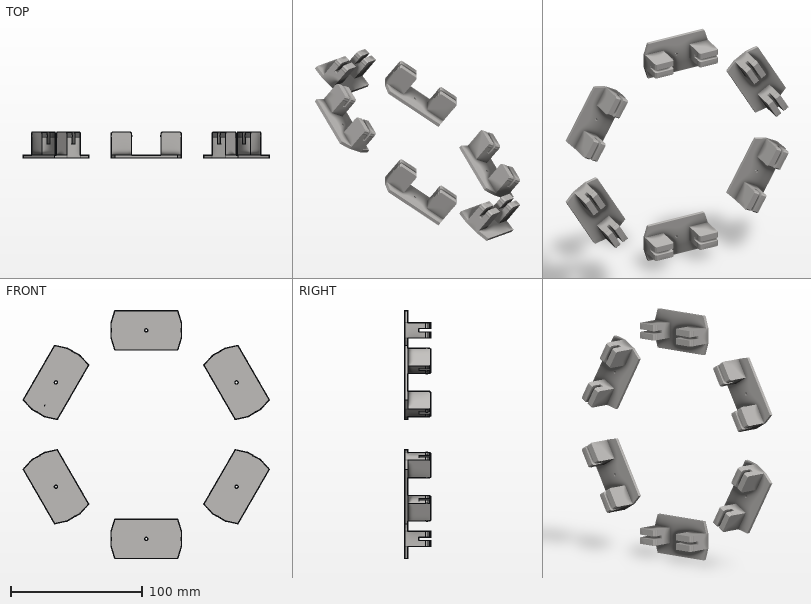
import cadquery as cq

PLATE_LENGTH = 53.7
PLATE_EDGE_LENGTH = 48.0
PLATE_HEIGHT = 30.0
PLATE_THICKNESS = 2.5
HOLE_DIAMETER = 2.3

TOTAL_DEPTH = 20.0
LEG_LENGTH = 15.7
LEG_HEIGHT = 12.0

TIP_CHAMFER = 1.0
BEAD_START = 2.3
BEAD_WIDTH = 1.7
BEAD_HEIGHT = 0.2

SLOT_WIDTH = 2.5
SLOT_DEPTH = 9.0

CLIP_COUNT = 6
RING_HEIGHT = 189.1
RING_RADIUS = (RING_HEIGHT - PLATE_HEIGHT) / 2


def make_plate():
    """Eight-cornered plate with its front face at Y = 0 and a hole through its centre."""
    half_length = PLATE_LENGTH / 2
    half_edge = PLATE_EDGE_LENGTH / 2
    half_height = PLATE_HEIGHT / 2
    half_flat = LEG_HEIGHT / 2
    outline = [
        (half_edge, half_height),
        (half_length, half_flat),
        (half_length, -half_flat),
        (half_edge, -half_height),
        (-half_edge, -half_height),
        (-half_length, -half_flat),
        (-half_length, half_flat),
        (-half_edge, half_height),
    ]
    return (
        cq.Workplane("XZ")
        .polyline(outline)
        .close()
        .circle(HOLE_DIAMETER / 2)
        .extrude(-PLATE_THICKNESS)
    )


def make_leg():
    """Right-hand leg with a chamfered tip, a rounded bead on both faces and a slot."""
    outer_x = PLATE_LENGTH / 2
    inner_x = outer_x - LEG_LENGTH
    chamfer_y = TOTAL_DEPTH - TIP_CHAMFER
    bead_tip_y = TOTAL_DEPTH - BEAD_START
    bead_middle_y = bead_tip_y - BEAD_WIDTH / 2
    bead_root_y = bead_tip_y - BEAD_WIDTH

    leg = (
        cq.Workplane("XY")
        .workplane(offset=-LEG_HEIGHT / 2)
        .moveTo(inner_x, 0)
        .lineTo(outer_x, 0)
        .lineTo(outer_x, bead_root_y)
        .threePointArc((outer_x + BEAD_HEIGHT, bead_middle_y), (outer_x, bead_tip_y))
        .lineTo(outer_x, chamfer_y)
        .lineTo(outer_x - TIP_CHAMFER, TOTAL_DEPTH)
        .lineTo(inner_x + TIP_CHAMFER, TOTAL_DEPTH)
        .lineTo(inner_x, chamfer_y)
        .lineTo(inner_x, bead_tip_y)
        .threePointArc((inner_x - BEAD_HEIGHT, bead_middle_y), (inner_x, bead_root_y))
        .close()
        .extrude(LEG_HEIGHT)
    )
    slot_centre = ((outer_x + inner_x) / 2, TOTAL_DEPTH - SLOT_DEPTH / 2, 0)
    slot_length = LEG_LENGTH + 2 * BEAD_HEIGHT
    slot = cq.Workplane("XY").box(slot_length, SLOT_DEPTH, SLOT_WIDTH).translate(slot_centre)
    return leg.cut(slot)


def make_clip():
    """One clip: the plate and its two mirrored legs as a single solid."""
    right_leg = make_leg()
    left_leg = right_leg.mirror("YZ")
    return make_plate().union(right_leg).union(left_leg).clean()


def make_clip_ring():
    """Separate clips spread evenly around the Y axis, the first one at +Z."""
    first_clip = make_clip().translate((0, 0, RING_RADIUS))
    step = 360 / CLIP_COUNT
    return [
        first_clip.rotate((0, 0, 0), (0, 1, 0), index * step).val()
        for index in range(CLIP_COUNT)
    ]


clips = make_clip_ring()
result = cq.Compound.makeCompound(clips)